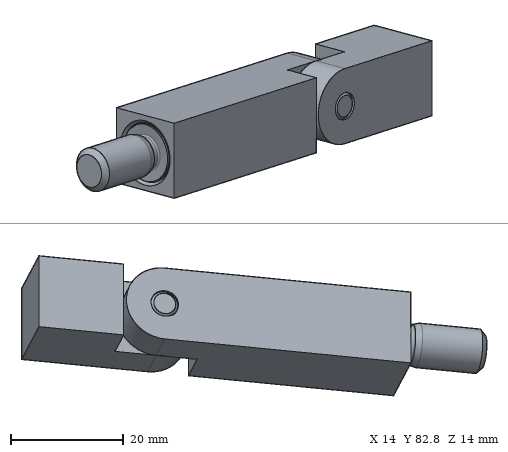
import cadquery as cq
import math

bar_width = 14.0
half_width = bar_width / 2

hinge_y = 45.0
knuckle_radius = half_width
knuckle_gap = 0.5
shoulder_distance = knuckle_radius + knuckle_gap
block_end_y = 68.0

pin_radius = 2.5
pin_chamfer = 0.5

recess_radius = 5.5
recess_chamfer = 0.5

flange_setback = recess_chamfer
flange_thickness = 2.0
collar_back_y = flange_setback + flange_thickness
dish_radius = 5.3
dish_setback = 0.1
dish_angle = 5.0

stud_length = 14.8
stud_radius = 4.0
stud_tip_chamfer = 1.0
neck_radius = 3.0
neck_end = 0.8
undercut_fillet = 0.8
undercut_flank_angle = 70.0
run_in_radius = 3.7
run_in_end = 2.8
neck_base_fillet = 0.3


def bar(y_start, y_end):
    """Square bar between two Y positions."""
    length = y_end - y_start
    return cq.Workplane("XY").box(bar_width, length, bar_width).translate((0, y_start + length / 2, 0))


def cylinder_along_x(radius, x_start, x_end):
    """Cylinder on the hinge axis."""
    plane = cq.Workplane("YZ", origin=(x_start, hinge_y, 0))
    return plane.circle(radius).extrude(x_end - x_start)


def knuckle(shoulder_y, x_start, x_end):
    """Half-width tongue from a shoulder to its rounded end, before the pin hole."""
    y_start, y_end = sorted((shoulder_y, hinge_y))
    tongue = (
        cq.Workplane("XY")
        .box(x_end - x_start, y_end - y_start, bar_width)
        .translate(((x_start + x_end) / 2, (y_start + y_end) / 2, 0))
    )
    return tongue.union(cylinder_along_x(knuckle_radius, x_start, x_end))


def revolve_about_y(profile):
    """Turn a profile of radius and Y position about the Y axis."""
    return profile.close().revolve(360, (0, 0, 0), (0, 1, 0))


def make_housing():
    """Long bar with the -X knuckle at one end and the collar recess at the other."""
    shoulder_y = hinge_y - shoulder_distance
    recess = revolve_about_y(
        cq.Workplane("XY")
        .lineTo(recess_radius + recess_chamfer, 0)
        .lineTo(recess_radius, recess_chamfer)
        .lineTo(recess_radius, collar_back_y)
        .lineTo(0, collar_back_y)
    )
    pin_hole = cylinder_along_x(pin_radius, -half_width, 0)
    return bar(0, shoulder_y).union(knuckle(shoulder_y, -half_width, 0)).cut(recess).cut(pin_hole)


def make_hinge_block():
    """Short bar with the +X knuckle."""
    shoulder_y = hinge_y + shoulder_distance
    pin_hole = cylinder_along_x(pin_radius, 0, half_width)
    return bar(shoulder_y, block_end_y).union(knuckle(shoulder_y, 0, half_width)).cut(pin_hole)


def make_hinge_pin():
    """Pin through both knuckles, chamfered at both ends."""
    return cylinder_along_x(pin_radius, -half_width, half_width).faces("<X or >X").chamfer(pin_chamfer)


def make_stud():
    """Stud with an undercut neck and a dished collar."""
    dish_slope = math.tan(math.radians(dish_angle))
    neck_base_y = dish_setback + (dish_radius - neck_radius) * dish_slope

    flank = math.radians(undercut_flank_angle)
    arc_end_radius = neck_radius + undercut_fillet * (1 - math.cos(flank))
    arc_end_y = -neck_end - undercut_fillet * math.sin(flank)
    arc_middle_radius = neck_radius + undercut_fillet * (1 - math.cos(flank / 2))
    arc_middle_y = -neck_end - undercut_fillet * math.sin(flank / 2)
    run_in_start_y = arc_end_y - (run_in_radius - arc_end_radius) / math.tan(flank)

    turned = revolve_about_y(
        cq.Workplane("XY")
        .moveTo(0, collar_back_y)
        .lineTo(recess_radius, collar_back_y)
        .lineTo(recess_radius, flange_setback)
        .lineTo(dish_radius, flange_setback)
        .lineTo(dish_radius, dish_setback)
        .lineTo(neck_radius, neck_base_y)
        .lineTo(neck_radius, -neck_end)
        .threePointArc((arc_middle_radius, arc_middle_y), (arc_end_radius, arc_end_y))
        .lineTo(run_in_radius, run_in_start_y)
        .lineTo(stud_radius, -run_in_end)
        .lineTo(stud_radius, stud_tip_chamfer - stud_length)
        .lineTo(stud_radius - stud_tip_chamfer, -stud_length)
        .lineTo(0, -stud_length)
    )
    neck_base = cq.selectors.NearestToPointSelector((0, neck_base_y, 0))
    return turned.edges("%CIRCLE").edges(neck_base).fillet(neck_base_fillet)


housing = make_housing()
hinge_block = make_hinge_block()
hinge_pin = make_hinge_pin()
stud = make_stud()

result = cq.Compound.makeCompound([housing.val(), hinge_block.val(), hinge_pin.val(), stud.val()])